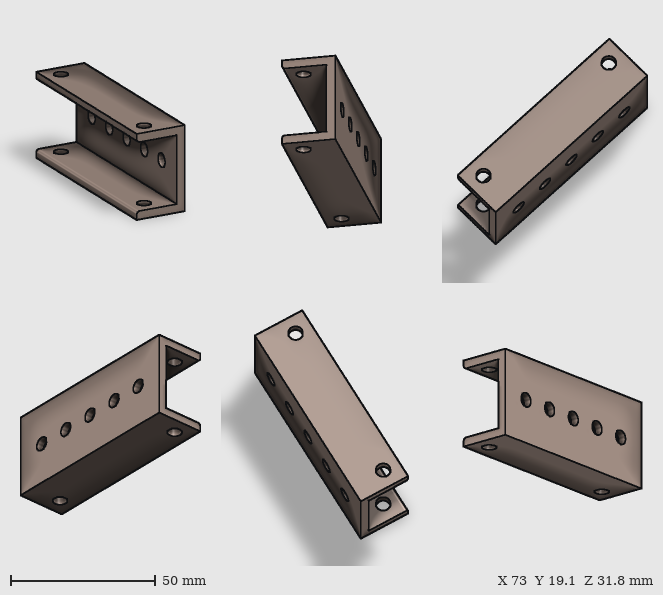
import cadquery as cq

length = 73.025
depth = 19.05
height = 31.75
wall = 3.175
lip_radius = 1.27

hole_diameter = 5.11
web_hole_count = 5
web_hole_pitch = 12.7
flange_hole_inset = 6.35

tip_y = -depth / 2
web_inner_y = depth / 2 - wall
inner_height = height - 2 * wall


def make_channel():
    """U-shaped channel, open toward -Y, with rounded inner lips."""
    body = cq.Workplane("XY").box(length, depth, height)
    cavity = (
        cq.Workplane("XY")
        .box(length, depth, inner_height)
        .translate((0, -wall, 0))
    )
    channel = body.cut(cavity)
    for side in (-1, 1):
        lip_edge = cq.selectors.NearestToPointSelector((0, tip_y, side * inner_height / 2))
        channel = channel.edges("|X").edges(lip_edge).fillet(lip_radius)
    return channel


def make_web_holes():
    """Row of cutters through the web, centred along the length."""
    return (
        cq.Workplane("XZ", origin=(0, web_inner_y, 0))
        .rarray(web_hole_pitch, 1, web_hole_count, 1)
        .circle(hole_diameter / 2)
        .extrude(-wall)
    )


def make_flange_holes():
    """Cutters near both ends, each passing through both flanges."""
    hole_x = length / 2 - flange_hole_inset
    hole_y = tip_y + flange_hole_inset
    return (
        cq.Workplane("XY", origin=(0, 0, -height / 2))
        .pushPoints([(-hole_x, hole_y), (hole_x, hole_y)])
        .circle(hole_diameter / 2)
        .extrude(height)
    )


result = make_channel().cut(make_web_holes()).cut(make_flange_holes())